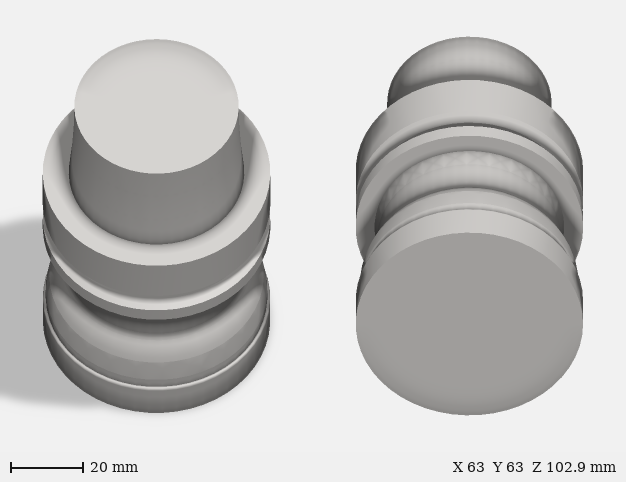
import cadquery as cq
import math

total_height = 102.9
nut_height = 13.85
flange_bottom_z = 45.0
flange_height = 26.0
flange_top_z = flange_bottom_z + flange_height

shank_top_radius = 45.5 / 2
shank_base_radius = 48.6 / 2

flange_radius = 63.01 / 2
groove_floor_radius = 54.95 / 2
groove_center_below_top = 18.0
groove_center_z = flange_top_z - groove_center_below_top
groove_mouth_width = 6.95
groove_floor_width = 3.75
groove_wall_angle = 30.0
groove_wall_height = (groove_mouth_width - groove_floor_width) / 2
groove_wall_depth = groove_wall_height / math.tan(math.radians(groove_wall_angle))
groove_step_radius = flange_radius - groove_wall_depth

neck_radius = 51.0 / 2
neck_bottom_z = 29.75
neck_top_z = 39.8
neck_flare_radius = 52.5 / 2
flare_lip_z = flange_bottom_z - 0.9
flare_lip_radius = 25.95

dome_radius = 61.36 / 2
dome_band_height = 1.0
dome_band_top_z = nut_height + dome_band_height
dome_shoulder_radius = 29.7
dome_shoulder_z = 21.8
dome_crown_radius = 26.35
dome_crown_z = 27.7

nut_radius = 62.94 / 2
nut_collar_radius = dome_radius
nut_ledge_z = 11.5
nut_edge_rounding = nut_radius - nut_collar_radius


def make_holder():
    """Shank, grooved flange, neck and dome, revolved as one solid."""
    groove_floor_top_z = groove_center_z + groove_floor_width / 2
    groove_floor_bottom_z = groove_center_z - groove_floor_width / 2
    groove_mouth_top_z = groove_center_z + groove_mouth_width / 2
    groove_mouth_bottom_z = groove_center_z - groove_mouth_width / 2

    profile = (
        cq.Workplane("XZ")
        .moveTo(0, nut_height)
        .lineTo(dome_radius, nut_height)
        .lineTo(dome_radius, dome_band_top_z)
        .tangentArcPoint((dome_shoulder_radius, dome_shoulder_z), relative=False)
        .tangentArcPoint((dome_crown_radius, dome_crown_z), relative=False)
        .tangentArcPoint((neck_radius, neck_bottom_z), relative=False)
        .lineTo(neck_radius, neck_top_z)
        .spline(
            [(flare_lip_radius, flare_lip_z), (neck_flare_radius, flange_bottom_z)],
            includeCurrent=True,
        )
    )
    profile = (
        profile
        .lineTo(flange_radius, flange_bottom_z)
        .lineTo(flange_radius, groove_mouth_bottom_z)
        .lineTo(groove_step_radius, groove_floor_bottom_z)
        .lineTo(groove_floor_radius, groove_floor_bottom_z)
        .lineTo(groove_floor_radius, groove_floor_top_z)
        .lineTo(groove_step_radius, groove_floor_top_z)
        .lineTo(flange_radius, groove_mouth_top_z)
        .lineTo(flange_radius, flange_top_z)
    )
    shank_height = total_height - flange_top_z
    shank_flare = shank_base_radius - shank_top_radius
    shank_arc_radius = (shank_height**2 + shank_flare**2) / (2 * shank_flare)
    shank_mid_height = shank_height / 2
    shank_mid_flare = shank_arc_radius - math.sqrt(shank_arc_radius**2 - shank_mid_height**2)
    profile = (
        profile
        .lineTo(shank_base_radius, flange_top_z)
        .threePointArc(
            (shank_top_radius + shank_mid_flare, total_height - shank_mid_height),
            (shank_top_radius, total_height),
        )
        .lineTo(0, total_height)
        .close()
    )
    return profile.revolve(360, (0, 0, 0), (0, 1, 0))


def make_nut():
    """Round nut with a rounded ledge below a slightly narrower collar."""
    return (
        cq.Workplane("XZ")
        .lineTo(nut_radius, 0)
        .lineTo(nut_radius, nut_ledge_z - nut_edge_rounding)
        .tangentArcPoint((nut_collar_radius, nut_ledge_z), relative=False)
        .lineTo(nut_collar_radius, nut_height)
        .lineTo(0, nut_height)
        .close()
        .revolve(360, (0, 0, 0), (0, 1, 0))
    )


holder = make_holder()
nut = make_nut()

result = cq.Compound.makeCompound([holder.val(), nut.val()])